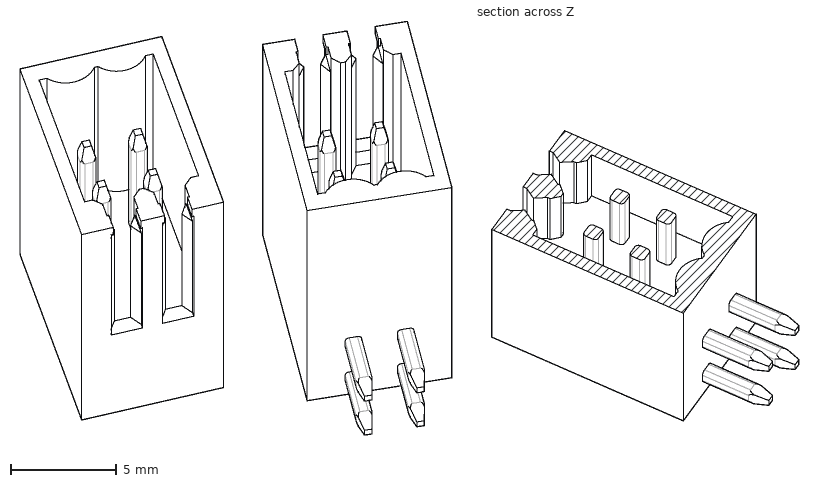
import cadquery as cq

housing_length = 10.5
housing_width = 7.05
housing_height = 14.2

cavity_left = 0.91
cavity_right = 8.62
cavity_width = 5.65
floor_height = 5.0

pitch = 2.54
pin_width = 0.8
pin_corner_radius = 0.2
pin_tip_width = 0.37
pin_tip_length = 1.0
pin_overhang = 3.51
pin_embed = 1.42
pin_top = 12.08
first_pin_x = 3.65
first_pin_z = 1.26
row_offsets = (-pitch / 2, pitch / 2)

coding_rib_width = 2.36
coding_rib_depth = 0.58

slot_width = 1.55
slot_entry_chamfer = 0.38
lip_width = 1.36
lip_height = 0.57
latch_rib_x = 9.71
latch_rib_half_length = 0.57
latch_rib_depth = 0.37
latch_rib_top = 13.0
sill_height = 1.0

cavity_depth = housing_height - floor_height
sill_top = floor_height + sill_height


def box(x_min, x_max, y_center, width, z_min, z_max):
    """Axis-aligned block, centred on y_center."""
    return cq.Workplane("XY").box(
        x_max - x_min, width, z_max - z_min, centered=(False, True, False)
    ).translate((x_min, y_center, z_min))


def coding_rib(row_y):
    """Rounded rib standing on the cavity floor along the solder-side wall."""
    return (
        cq.Workplane("XY", origin=(cavity_left, row_y, floor_height))
        .moveTo(0, -coding_rib_width / 2)
        .threePointArc((coding_rib_depth, 0), (0, coding_rib_width / 2))
        .close()
        .extrude(cavity_depth)
    )


def latch_slot(row_y):
    """Slot through the end wall with a chamfered entry, narrowed by a lip at the top."""
    half_slot = slot_width / 2
    half_entry = half_slot + slot_entry_chamfer
    slot = (
        cq.Workplane("XY", origin=(cavity_right, row_y, floor_height))
        .moveTo(0, -half_entry)
        .lineTo(slot_entry_chamfer, -half_slot)
        .lineTo(housing_length - cavity_right, -half_slot)
        .lineTo(housing_length - cavity_right, half_slot)
        .lineTo(slot_entry_chamfer, half_slot)
        .lineTo(0, half_entry)
        .close()
        .extrude(cavity_depth)
    )
    lip_bottom = housing_height - lip_height
    lip_zone = box(latch_rib_x, housing_length, row_y, slot_width, lip_bottom, housing_height)
    lip_gap = box(latch_rib_x, housing_length, row_y, lip_width, lip_bottom, housing_height)
    return slot.cut(lip_zone).union(lip_gap)


def latch_rib(row_y, side):
    """Triangular rib on one flank of a latch slot; side is +1 or -1 along y."""
    flank_y = side * slot_width / 2
    return (
        cq.Workplane("XY", origin=(latch_rib_x, row_y, floor_height))
        .moveTo(-latch_rib_half_length, flank_y)
        .lineTo(0, flank_y - side * latch_rib_depth)
        .lineTo(latch_rib_half_length, flank_y)
        .close()
        .extrude(latch_rib_top - floor_height)
    )


def make_pin(length):
    """Upright square pin with rounded edges and a tapered tip; its base is at the origin."""
    shaft_length = length - pin_tip_length
    envelope = (
        cq.Workplane("XY")
        .rect(pin_width, pin_width)
        .extrude(shaft_length)
        .faces(">Z")
        .workplane()
        .rect(pin_width, pin_width)
        .workplane(offset=pin_tip_length)
        .rect(pin_tip_width, pin_tip_width)
        .loft()
    )
    rounded_bar = (
        cq.Workplane("XY")
        .rect(pin_width, pin_width)
        .extrude(length)
        .edges("|Z")
        .fillet(pin_corner_radius)
    )
    return rounded_bar.intersect(envelope)


result = box(0, housing_length, 0, housing_width, 0, housing_height)
result = result.cut(box(cavity_left, cavity_right, 0, cavity_width, floor_height, housing_height))
for row_y in row_offsets:
    result = result.union(coding_rib(row_y))
    result = result.cut(latch_slot(row_y))
    result = result.union(box(latch_rib_x, housing_length, row_y, slot_width, floor_height, sill_top))
    for side in (-1, 1):
        result = result.union(latch_rib(row_y, side))

contact_base = floor_height - pin_embed
contact_pin = make_pin(pin_top - contact_base)
solder_pin = make_pin(pin_overhang + pin_embed).rotate((0, 0, 0), (0, 1, 0), -90)
for row_y in row_offsets:
    for step in (0, pitch):
        result = result.union(contact_pin.translate((first_pin_x + step, row_y, contact_base)))
        result = result.union(solder_pin.translate((pin_embed, row_y, first_pin_z + step)))